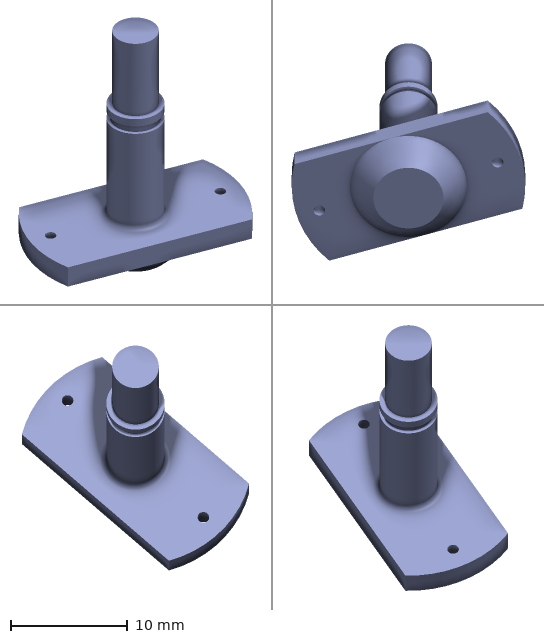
import cadquery as cq

total_height = 23.0
flange_length = 20.0
flange_width = 10.0
flange_thickness = 2.0

foot_height = 2.0
foot_top_diameter = flange_width
foot_bottom_diameter = 6.0

shaft_diameter = 5.0
tip_diameter = 4.0
tip_length = 7.5
collar_height = 0.75
groove_height = 0.75
groove_diameter = 4.4
root_fillet = 0.5

hole_diameter = 1.0
hole_spacing = 16.0

flange_top = foot_height + flange_thickness
collar_top = total_height - tip_length
groove_bottom = collar_top - collar_height - groove_height


def cylinder(diameter, bottom, top):
    """Upright cylinder on the Z axis between two heights."""
    return cq.Workplane("XY").workplane(offset=bottom).circle(diameter / 2).extrude(top - bottom)


def make_flange():
    """Disc with two flat sides, drilled near both rounded ends."""
    disc = cylinder(flange_length, foot_height, flange_top)
    side_limits = cq.Workplane("XY").box(
        flange_width, flange_length, flange_top, centered=(True, True, False)
    )
    return (
        disc.intersect(side_limits)
        .faces(">Z")
        .workplane(origin=(0, 0, flange_top))
        .rarray(0.23, hole_spacing, 1, 2)
        .hole(hole_diameter)
    )


def make_turned_body():
    """Foot, root fillet, grooved shaft and tip as one revolved profile."""
    shaft_radius = shaft_diameter / 2
    groove_radius = groove_diameter / 2
    tip_radius = tip_diameter / 2
    return (
        cq.Workplane("XZ")
        .moveTo(0, 0)
        .lineTo(foot_bottom_diameter / 2, 0)
        .lineTo(foot_top_diameter / 2, foot_height)
        .lineTo(shaft_radius + root_fillet, foot_height)
        .lineTo(shaft_radius + root_fillet, flange_top)
        .radiusArc((shaft_radius, flange_top + root_fillet), root_fillet)
        .lineTo(shaft_radius, groove_bottom)
        .lineTo(groove_radius, groove_bottom)
        .lineTo(groove_radius, groove_bottom + groove_height)
        .lineTo(shaft_radius, groove_bottom + groove_height)
        .lineTo(shaft_radius, collar_top)
        .lineTo(tip_radius, collar_top)
        .lineTo(tip_radius, total_height)
        .lineTo(0, total_height)
        .close()
        .revolve(360, (0, 0), (0, 1))
    )


result = make_flange().union(make_turned_body())